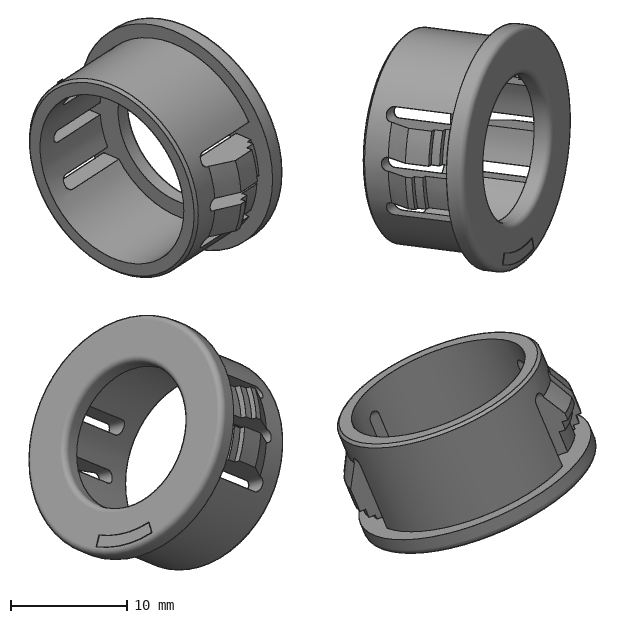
import cadquery as cq
import math


flange_diameter = 21.4
flange_hole_diameter = 12.95
sleeve_diameter = 18.8
bore_diameter = 16.0
seat_y = 8.71
flange_thickness = 1.6
face_edge_fillet = 0.51
rim_chamfer = 0.25
face_y = seat_y + flange_thickness

slot_width = 1.22
slot_pitch = 4.2
slot_end_y = 1.86
slot_center_y = slot_end_y + slot_width / 2
window_half_height = slot_pitch + slot_width / 2

tab_end_y = 8.11
tab_low_z = slot_width / 2
tab_high_z = slot_pitch - slot_width / 2
ramp_start_y = 2.5
ramp_end_y = 4.69
step_radii = (10.51, 10.02, 9.48)
long_tab_first_step_y = 6.92
short_tab_first_step_y = 5.3
step_length = (long_tab_first_step_y - short_tab_first_step_y) / 2

band_inner_radius = 9.0
band_outer_radius = 10.05
band_half_angle = 17.6
band_height = 0.06


def y_cylinder(diameter, start_y, end_y):
    """Solid cylinder on the Y axis."""
    return cq.Workplane("XZ", origin=(0, start_y, 0)).circle(diameter / 2).extrude(start_y - end_y)


def make_sleeve_and_flange():
    flange = y_cylinder(flange_diameter, seat_y, face_y).faces(">Y").edges().fillet(face_edge_fillet)
    sleeve = y_cylinder(sleeve_diameter, 0, seat_y).faces("<Y").edges().chamfer(rim_chamfer)
    body = sleeve.union(flange)
    body = body.cut(y_cylinder(bore_diameter, 0, seat_y))
    body = body.cut(y_cylinder(flange_hole_diameter, seat_y, face_y))
    hole_edge = cq.selectors.RadiusNthSelector(0)
    return body.faces(">Y").edges(hole_edge).fillet(face_edge_fillet)


def make_tab_openings():
    """Three round-ended slots joined by a clear window for the tabs, through both sides."""
    openings = cq.Workplane("XY").box(
        flange_diameter,
        seat_y - slot_center_y,
        2 * window_half_height,
    ).translate((0, (seat_y + slot_center_y) / 2, 0))
    for slot_z in (-slot_pitch, 0, slot_pitch):
        slot_end = (
            cq.Workplane("YZ")
            .center(slot_center_y, slot_z)
            .circle(slot_width / 2)
            .extrude(flange_diameter / 2, both=True)
        )
        openings = openings.union(slot_end)
    return openings


def make_tab(first_step_y, side_x, side_z):
    """Revolved catch profile trimmed to one tab; side_x and side_z (+1 or -1) pick the quadrant."""
    inner_radius = bore_diameter / 2
    outline = [
        (inner_radius, slot_center_y),
        (sleeve_diameter / 2, slot_center_y),
        (sleeve_diameter / 2, ramp_start_y),
        (step_radii[0], ramp_end_y),
    ]
    step_ys = (first_step_y, first_step_y + step_length, tab_end_y)
    for index, radius in enumerate(step_radii):
        if index > 0:
            outline.append((radius, step_ys[index - 1]))
        outline.append((radius, step_ys[index]))
    outline.append((inner_radius, tab_end_y))
    ring = cq.Workplane("XY").polyline(outline).close().revolve(360, (0, 0, 0), (0, 1, 0))

    half_width = flange_diameter / 2
    trim = cq.Workplane("XY").box(half_width, tab_end_y, tab_high_z - tab_low_z).translate(
        (side_x * half_width / 2, tab_end_y / 2, side_z * (tab_low_z + tab_high_z) / 2)
    )
    return ring.intersect(trim)


def make_raised_band():
    """Arc-shaped band centred on the -Z side of the flange face."""

    def point(radius, angle):
        radians = math.radians(angle)
        return (radius * math.sin(radians), -radius * math.cos(radians))

    return (
        cq.Workplane("XZ", origin=(0, face_y, 0))
        .moveTo(*point(band_inner_radius, -band_half_angle))
        .threePointArc(point(band_inner_radius, 0), point(band_inner_radius, band_half_angle))
        .lineTo(*point(band_outer_radius, band_half_angle))
        .threePointArc(point(band_outer_radius, 0), point(band_outer_radius, -band_half_angle))
        .close()
        .extrude(-band_height)
    )


result = make_sleeve_and_flange().cut(make_tab_openings())

for side in (-1, 1):
    result = result.union(make_tab(short_tab_first_step_y, side, -side))
    result = result.union(make_tab(long_tab_first_step_y, side, side))

result = result.union(make_raised_band())